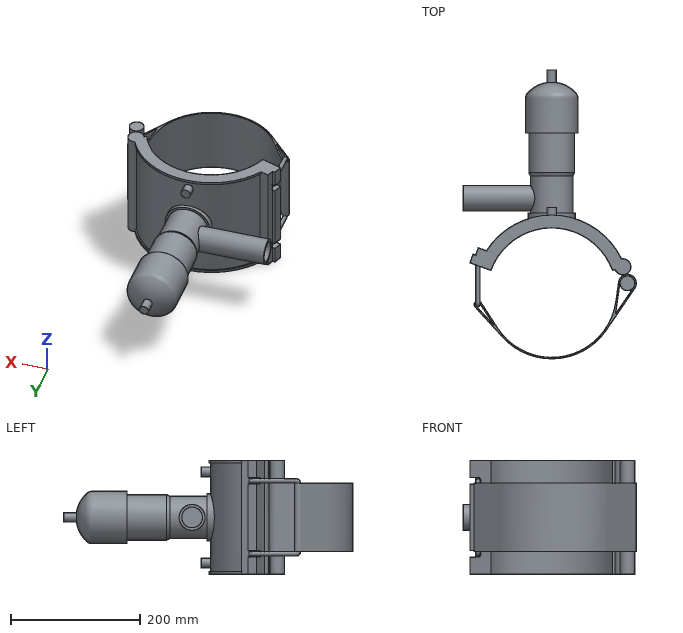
import cadquery as cq
import math

pipe_radius = 100.0
saddle_length = 176.0
saddle_radius = 117.5
rim_radius = 120.0
rim_width = 4.0
saddle_end_angle = 20.0

hook_reach = 134.7
hook_height = 14.4
block_reach = 130.5
block_height = 26.4

pin_diameter = 22.77
lug_diameter = 25.2
lug_distance = 117.0

strap_thickness = 2.5
strap_width = 106.0
pin_center = (117.065, 14.4)
bail_diameter = 6.8
bail_bend_radius = 3.45
bail_center = (-114.1, -18.5)
slot_width = 10.0

flange_diameter = 73.2
flange_top = 123.0
neck_diameter = 65.88
neck_top = 180.4
barrel_diameter = 70.76
barrel_bottom = 185.7
cap_diameter = 81.33
cap_bottom = 246.5
cap_shoulder = 300.5
cap_round = 12.2
stem_diameter = 14.64
stem_top = 344.5
crown_radius = 50.0

outlet_diameter = 40.0
outlet_bore = 32.0
outlet_end = -137.0
outlet_height = 146.0
stud_diameter = 15.2
stud_top = 132.0
stud_offset = 70.4


def polar(radius, degrees):
    """Point at a radius and angle about the pipe axis."""
    angle = math.radians(degrees)
    return (radius * math.cos(angle), radius * math.sin(angle))


def step(point, distance, degrees):
    """Point reached from another by moving a distance along a direction."""
    dx, dy = polar(distance, degrees)
    return (point[0] + dx, point[1] + dy)


def prism(sketch, length):
    """Extrude an outline in the XY plane, centred on Z = 0."""
    return sketch.extrude(length / 2, both=True)


def cylinder_z(center, diameter, length):
    return prism(cq.Workplane("XY").center(*center).circle(diameter / 2), length)


def cylinder_y(z, diameter, start, end):
    """Cylinder along +Y at X = 0."""
    plane = cq.Plane(origin=(0, start, z), xDir=(1, 0, 0), normal=(0, 1, 0))
    return cq.Workplane(plane).circle(diameter / 2).extrude(end - start)


hook_angle = 180 - saddle_end_angle
hook_plane = cq.Plane(
    origin=(0, 0, 0),
    xDir=(*polar(1, hook_angle), 0),
    normal=(0, 0, -1),
)


def arch(outer_radius, length):
    """Arched shell around the upper side of the pipe."""
    outline = (
        cq.Workplane("XY")
        .moveTo(*polar(pipe_radius, saddle_end_angle))
        .threePointArc((0, pipe_radius), polar(pipe_radius, hook_angle))
        .lineTo(*polar(outer_radius, hook_angle))
        .threePointArc((0, outer_radius), polar(outer_radius, saddle_end_angle))
        .close()
    )
    return prism(outline, length)


def end_rims():
    rims = arch(rim_radius, saddle_length)
    return rims.cut(arch(rim_radius, saddle_length - 2 * rim_width))


def hook_block():
    """Stepped block on the -X end, slotted for the two bail legs."""
    root = (pipe_radius + saddle_radius) / 2
    outline = (
        cq.Workplane(hook_plane)
        .moveTo(root, 0)
        .lineTo(hook_reach, 0)
        .lineTo(hook_reach, hook_height)
        .lineTo(block_reach, hook_height)
        .lineTo(block_reach, block_height)
        .lineTo(root, block_height)
        .close()
    )
    return prism(outline, saddle_length)


bail_leg_z = strap_width / 2 + bail_bend_radius
slot_root = -bail_center[0] / math.cos(math.radians(saddle_end_angle))


def leg_slot(z):
    """Blind slot, open to the hook face, with a round inner end."""
    plane = cq.Plane(
        origin=(0, 0, z),
        xDir=(*polar(1, hook_angle), 0),
        normal=(*polar(1, hook_angle - 90), 0),
    )
    round_end = cq.Workplane(plane).center(slot_root, 0).circle(slot_width / 2).extrude(hook_height)
    run = hook_reach - slot_root
    channel = cq.Workplane(plane).center(slot_root + run / 2, 0).rect(run, slot_width).extrude(hook_height)
    return round_end.union(channel)


def valve():
    """Turned valve: flange, neck, barrel, domed cap and stem."""
    cap_radius = cap_diameter / 2
    stem_radius = stem_diameter / 2
    round_x = cap_radius - cap_round
    crown_drop = math.sqrt((crown_radius - cap_round) ** 2 - round_x ** 2)
    crown_center = (0, cap_shoulder - crown_drop)
    crown_tilt = math.degrees(math.atan2(crown_drop, round_x))
    crown_edge = step(crown_center, crown_radius, crown_tilt)
    stem_tilt = math.degrees(math.acos(stem_radius / crown_radius))
    crown_top = step(crown_center, crown_radius, stem_tilt)
    crown_middle = step(crown_center, crown_radius, (crown_tilt + stem_tilt) / 2)
    round_middle = step((round_x, cap_shoulder), cap_round, crown_tilt / 2)
    profile = (
        cq.Workplane("XY")
        .lineTo(flange_diameter / 2, 0)
        .lineTo(flange_diameter / 2, flange_top)
        .lineTo(neck_diameter / 2, flange_top)
        .lineTo(neck_diameter / 2, neck_top)
        .lineTo(barrel_diameter / 2, barrel_bottom)
        .lineTo(barrel_diameter / 2, cap_bottom)
        .lineTo(cap_radius, cap_bottom)
        .lineTo(cap_radius, cap_shoulder)
        .threePointArc(round_middle, crown_edge)
        .threePointArc(crown_middle, crown_top)
        .lineTo(stem_radius, stem_top)
        .lineTo(0, stem_top)
        .close()
    )
    return profile.revolve(360, (0, 0, 0), (0, 1, 0))


def along_outlet(diameter, end_x):
    """Cylinder on the outlet axis, from the outlet mouth to end_x."""
    plane = cq.Workplane("YZ", origin=(outlet_end, outlet_height, 0))
    return plane.circle(diameter / 2).extrude(end_x - outlet_end)


def build_saddle():
    body = arch(saddle_radius, saddle_length).union(end_rims()).union(hook_block())
    lug_center = polar(lug_distance, saddle_end_angle)
    body = body.union(cylinder_z(lug_center, lug_diameter, saddle_length))
    body = body.union(valve()).union(along_outlet(outlet_diameter, 0))
    for side in (-1, 1):
        body = body.union(cylinder_y(side * stud_offset, stud_diameter, pipe_radius, stud_top))
        body = body.cut(leg_slot(side * bail_leg_z))
    body = body.cut(along_outlet(outlet_bore, -neck_diameter / 2))
    return body.cut(cylinder_z((0, 0), 2 * pipe_radius, saddle_length))


strap_radius = pipe_radius + strap_thickness


class Loop:
    """End loop of the strap around a rod.

    turn is +1 where the angle grows from the rod towards the bottom of the strap, -1 where it falls.
    """

    def __init__(self, center, rod_diameter, turn):
        self.center = center
        self.rod_radius = rod_diameter / 2
        self.radius = self.rod_radius + strap_thickness
        distance = math.hypot(*center)
        heading = math.degrees(math.atan2(center[1], center[0]))
        lean_out = math.degrees(math.acos((strap_radius - self.radius) / distance))
        lean_in = math.degrees(math.acos((pipe_radius + self.radius) / distance))
        self.outer = heading + turn * lean_out
        self.inner = heading + turn * lean_in
        self.far = (self.outer + self.inner - 180 * turn) / 2

    def wedge(self):
        """Space between the rod and the two runs of the strap."""
        spread = math.radians(self.outer - self.inner)
        along = (pipe_radius - strap_radius * math.cos(spread)) / math.sin(spread)
        tip = step(polar(strap_radius, self.inner), along, self.inner + 90)
        outline = (
            cq.Workplane("XY")
            .moveTo(*tip)
            .lineTo(*step(self.center, self.rod_radius, self.outer))
            .threePointArc(
                step(self.center, self.rod_radius, self.far),
                step(self.center, -self.rod_radius, self.inner),
            )
            .close()
        )
        return prism(outline, strap_width)


bail_loop = Loop(bail_center, bail_diameter, 1)
pin_loop = Loop(pin_center, pin_diameter, -1)


def strap():
    """Band under the pipe, folded back around the bail and the pin."""
    left = bail_loop
    right = pin_loop
    outline = (
        cq.Workplane("XY")
        .moveTo(*polar(strap_radius, left.outer))
        .lineTo(*step(left.center, left.radius, left.outer))
        .threePointArc(
            step(left.center, left.radius, left.far),
            step(left.center, -left.radius, left.inner),
        )
        .lineTo(*polar(pipe_radius, left.inner))
        .threePointArc((0, -pipe_radius), polar(pipe_radius, right.inner))
        .lineTo(*step(right.center, -right.radius, right.inner))
        .threePointArc(
            step(right.center, right.radius, right.far),
            step(right.center, right.radius, right.outer),
        )
        .lineTo(*polar(strap_radius, right.outer))
        .threePointArc((0, -strap_radius), polar(strap_radius, left.outer))
        .close()
    )
    return prism(outline, strap_width).cut(left.wedge()).cut(right.wedge())


def bail():
    """U-shaped rod: a cross bar in the strap loop, two bends and two legs into the slots."""
    x, y = bail_center
    leg_start = y + bail_bend_radius
    tilt = math.radians(saddle_end_angle)
    leg_end = (hook_height + (bail_diameter / 2 - x) * math.sin(tilt)) / math.cos(tilt)
    rod = cylinder_z(bail_center, bail_diameter, strap_width)
    bend = (
        cq.Workplane("XY", origin=(x, y, strap_width / 2))
        .circle(bail_diameter / 2)
        .revolve(90, (1, bail_bend_radius, 0), (-1, bail_bend_radius, 0))
    )
    leg = (
        cq.Workplane("XZ", origin=(x, leg_start, bail_leg_z))
        .circle(bail_diameter / 2)
        .extrude(leg_start - leg_end)
    )
    half = bend.union(leg)
    return rod.union(half).union(half.mirror("XY"))


def build_strap():
    pin = cylinder_z(pin_center, pin_diameter, saddle_length)
    return strap().union(pin).union(bail())


saddle = build_saddle()
clamp_strap = build_strap().cut(saddle)

result = cq.Compound.makeCompound([saddle.solids().val(), clamp_strap.solids().val()])